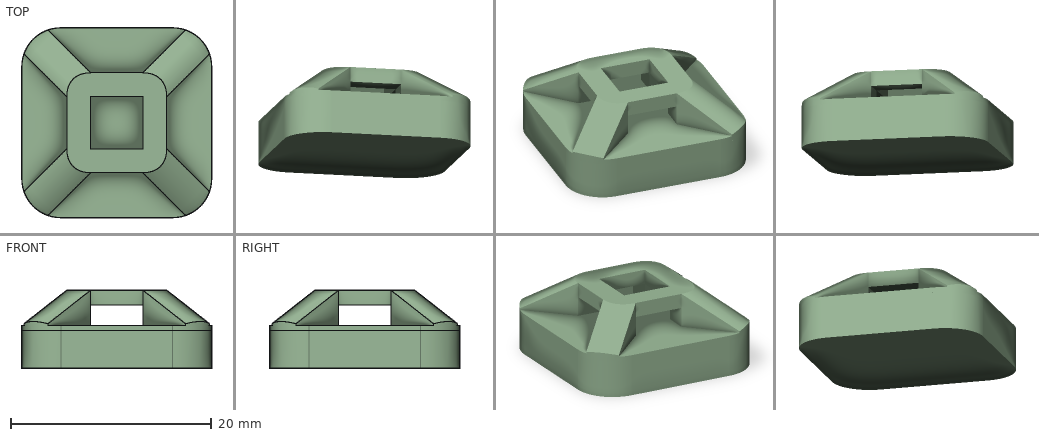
import cadquery as cq
import math

side = 19.0
corner_radius = 3.91
base_height = 3.8
floor_top = 4.3
total_height = 7.8
plate_side = 10.0
plate_thickness = 1.5
opening = 5.2
rib_slope = 29.0
crown_radius = 3.91

plate_half = plate_side / 2
opening_half = opening / 2
rib_half_width = (plate_half - opening_half) / math.sqrt(2)
rib_inner = opening_half * math.sqrt(2)
rib_shoulder = rib_inner + rib_half_width
reach = side


def rounded_slab(bottom, top):
    """Square slab with rounded vertical corners."""
    slab = cq.Workplane("XY").workplane(offset=bottom).rect(side, side).extrude(top - bottom)
    return slab.edges("|Z").fillet(corner_radius)


def make_top_plate():
    """Square plate with cropped corners, completed by the ribs, and a square hole."""
    bottom = total_height - plate_thickness
    corner_crop = plate_half - opening_half
    plate = cq.Workplane("XY").workplane(offset=bottom).rect(plate_side, plate_side)
    plate = plate.extrude(plate_thickness).edges("|Z").chamfer(corner_crop)
    hole = cq.Workplane("XY").workplane(offset=bottom).rect(opening, opening).extrude(plate_thickness)
    return plate.cut(hole)


def make_crowned_bar():
    """Deep bar sloping down along +X, with its upper side rounded to a cylinder."""
    angle = math.radians(rib_slope)
    crown_height = crown_radius - math.sqrt(crown_radius**2 - rib_half_width**2)
    down_slope = cq.Plane(
        origin=(rib_shoulder, 0, total_height),
        xDir=(0, 1, 0),
        normal=(math.cos(angle), 0, -math.sin(angle)),
    )
    return (
        cq.Workplane(down_slope)
        .moveTo(-rib_half_width, 0)
        .threePointArc((0, crown_height), (rib_half_width, 0))
        .lineTo(rib_half_width, -reach)
        .lineTo(-rib_half_width, -reach)
        .close()
        .extrude(reach, both=True)
    )


def make_rib():
    """Corner column and sloping rib along +X, before it is turned onto a diagonal."""
    footprint = [
        (rib_inner, 0),
        (rib_shoulder, -rib_half_width),
        (reach, -rib_half_width),
        (reach, rib_half_width),
        (rib_shoulder, rib_half_width),
    ]
    column = cq.Workplane("XY").workplane(offset=base_height).polyline(footprint).close()
    return column.extrude(total_height - base_height).intersect(make_crowned_bar())


def make_base():
    """Plain lower block."""
    return rounded_slab(0, base_height)


def make_mount():
    """Floor slab carrying four diagonal ribs that hold the top plate."""
    rib = make_rib()
    envelope = rounded_slab(base_height, total_height)
    mount = rounded_slab(base_height, floor_top).union(make_top_plate())
    for turn in (45, 135, 225, 315):
        turned_rib = rib.rotate((0, 0, 0), (0, 0, 1), turn)
        mount = mount.union(turned_rib.intersect(envelope))
    return mount


base = make_base()
mount = make_mount()
result = cq.Compound.makeCompound([*base.solids().vals(), *mount.solids().vals()])